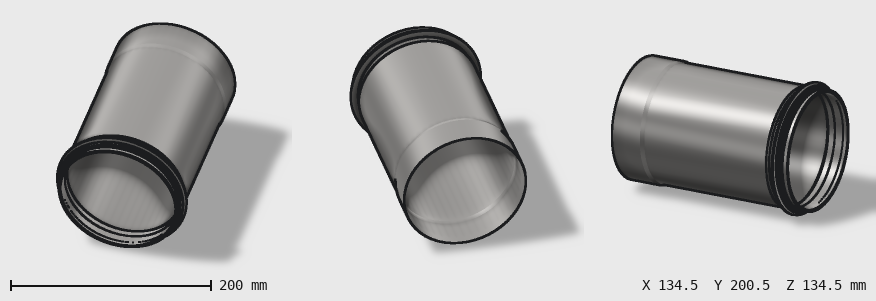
import cadquery as cq

length = 200.5
bore_diameter = 118.3
barrel_diameter = 124.1
neck_diameter = 119.3
seat_diameter = 120.5
socket_diameter = 126.3
wall = (neck_diameter - bore_diameter) / 2

bead_length = 5.5
rim_chamfer_length = 1.6
rim_chamfer_depth = 0.2
mouth_diameter = 119.3
shoulder_start = 22.0
shoulder_end = 24.3
shoulder_blend = 1.5
shoulder_blend_depth = 0.2
socket_length = 32.5
socket_taper_length = 4.6

ring_base_diameter = 123.1
flange_diameter = 134.5
lip_diameter = 129.5
rib_diameter = 125.3
flange_start = 13.2
flange_end = 14.6
lip_root = 8.6
lip_tip_start = 9.6
lip_end = 10.5
rib_start = 7.0


def revolve_around_y(profile):
    """Turn a closed (radius, Y) profile into a solid of revolution about the Y axis."""
    return profile.close().revolve(360, (0, 0, 0), (0, 1, 0))


def make_pipe():
    bore = bore_diameter / 2
    neck = neck_diameter / 2
    seat = seat_diameter / 2
    barrel = barrel_diameter / 2
    socket = socket_diameter / 2
    rim = barrel - rim_chamfer_depth
    socket_start = length - socket_length
    taper_start = socket_start - socket_taper_length
    blend_end = shoulder_end + shoulder_blend
    profile = (
        cq.Workplane("XY")
        .moveTo(mouth_diameter / 2, 0)
        .lineTo(rim, 0)
        .lineTo(barrel, rim_chamfer_length)
        .lineTo(barrel, bead_length)
        .lineTo(seat, bead_length)
        .lineTo(seat, flange_end)
        .lineTo(neck, flange_end)
        .lineTo(neck, shoulder_start)
        .lineTo(barrel - shoulder_blend_depth, shoulder_end)
        .lineTo(barrel, blend_end)
        .lineTo(barrel, taper_start)
        .lineTo(socket, socket_start)
        .lineTo(socket, length)
        .lineTo(socket - wall, length)
        .lineTo(socket - wall, socket_start)
        .lineTo(barrel - wall, taper_start)
        .lineTo(barrel - wall, blend_end)
        .lineTo(barrel - wall - shoulder_blend_depth, shoulder_end)
        .lineTo(bore, shoulder_start)
        .lineTo(bore, rim_chamfer_length)
    )
    return revolve_around_y(profile)


def make_sealing_ring():
    base = ring_base_diameter / 2
    seat = seat_diameter / 2
    flange = flange_diameter / 2
    lip = lip_diameter / 2
    rib = rib_diameter / 2
    profile = (
        cq.Workplane("XY")
        .moveTo(seat, bead_length)
        .lineTo(base, bead_length)
        .lineTo(base, rib_start)
        .lineTo(rib, rib_start)
        .lineTo(rib, lip_root)
        .lineTo(lip, lip_tip_start)
        .lineTo(lip, lip_end)
        .lineTo(base, lip_end)
        .lineTo(base, flange_start)
        .lineTo(flange, flange_start)
        .lineTo(flange, flange_end)
        .lineTo(seat, flange_end)
    )
    return revolve_around_y(profile)


pipe = make_pipe()
sealing_ring = make_sealing_ring()
result = cq.Compound.makeCompound([pipe.val(), sealing_ring.val()])